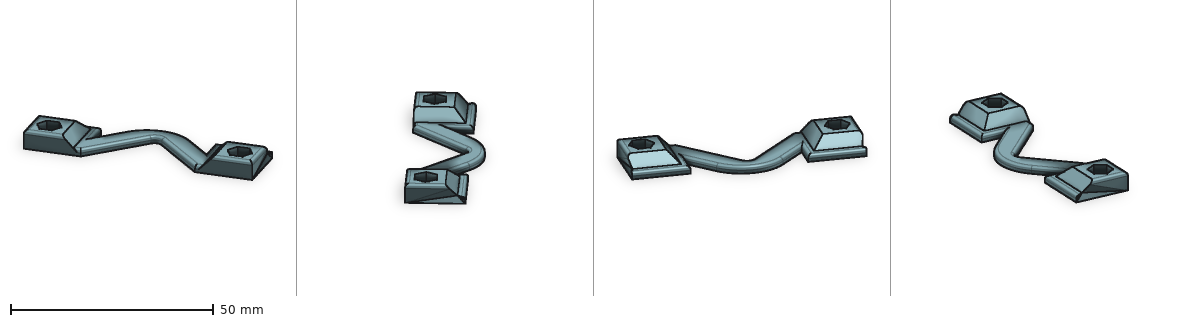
import cadquery as cq
import math

length = 60.0
pad_size = 15.0
plate_thickness = 2.0
block_height = 5.0
edge_radius = 0.99
pad_inner_x = length / 2 - pad_size

block_base = 13.0
block_top = block_base - (block_height - plate_thickness)

strap_width = 6.0
outer_bend_radius = 12.0
inner_bend_radius = 2.0

hole_diameter = 3.5
hole_inset = 5.0
nut_across_flats = 5.6
nut_floor = 2.5

end_face_recess = 0.6


def bend_points(apex_y, radius):
    """Left tangent point, crown and right tangent point of a rounded 90 degree bend."""
    center_y = apex_y - radius * math.sqrt(2)
    reach = radius / math.sqrt(2)
    return (-reach, center_y + reach), (0, center_y + radius), (reach, center_y + reach)


def make_plate():
    inner_apex = pad_inner_x
    outer_apex = inner_apex + strap_width * math.sqrt(2)
    notch_y = outer_apex - pad_inner_x
    inner_left, inner_crown, inner_right = bend_points(inner_apex, inner_bend_radius)
    outer_left, outer_crown, outer_right = bend_points(outer_apex, outer_bend_radius)
    plate = (
        cq.Workplane("XY")
        .moveTo(-length / 2, 0)
        .lineTo(-pad_inner_x, 0)
        .lineTo(*inner_left)
        .threePointArc(inner_crown, inner_right)
        .lineTo(pad_inner_x, 0)
        .lineTo(length / 2, 0)
        .lineTo(length / 2, pad_size)
        .lineTo(pad_inner_x, pad_size)
        .lineTo(pad_inner_x, notch_y)
        .lineTo(*outer_right)
        .threePointArc(outer_crown, outer_left)
        .lineTo(-pad_inner_x, notch_y)
        .lineTo(-pad_inner_x, pad_size)
        .lineTo(-length / 2, pad_size)
        .close()
        .extrude(plate_thickness)
    )
    box = cq.selectors.BoxSelector
    sharp = box((-length, -0.6, 0), (-length / 2 + 0.6, pad_size + 0.6, block_height))
    sharp += box((length / 2 - 0.6, -0.6, 0), (length, pad_size + 0.6, block_height))
    return plate.edges(cq.selectors.StringSyntaxSelector(">Z") - sharp).fillet(edge_radius)


def make_left_block():
    profile = [
        (0, 0),
        (block_base + edge_radius, 0),
        (block_base + edge_radius, plate_thickness - edge_radius),
        (block_top, block_height),
        (0, block_height),
    ]
    depth = block_base + edge_radius
    slope_side = cq.Workplane("XZ").polyline(profile).close().extrude(-depth)
    slope_rear = cq.Workplane("YZ").polyline(profile).close().extrude(depth)
    block = slope_side.intersect(slope_rear)
    top_edges = block.faces(">Z").edges("<X or <Y")
    block = block.newObject(top_edges.vals()).fillet(edge_radius)
    return block.translate((-length / 2, 0, 0))


def make_left_screw_cut():
    nut_across_corners = nut_across_flats * 2 / math.sqrt(3)
    center = (hole_inset - length / 2, hole_inset)
    hole = cq.Workplane("XY").center(*center).circle(hole_diameter / 2).extrude(block_height)
    nut = (
        cq.Workplane("XY", origin=(0, 0, nut_floor))
        .center(*center)
        .polygon(6, nut_across_corners)
        .extrude(block_height - nut_floor)
    )
    return hole.union(nut)


def make_left_end_recess():
    """Flat pyramid whose facets meet at the recessed foot of the rear slope."""
    side_height = block_height - edge_radius
    outline = [
        (0, 0),
        (block_top + edge_radius, side_height),
        (block_base, plate_thickness),
        (pad_size - edge_radius, plate_thickness),
        (pad_size, plate_thickness - edge_radius),
        (pad_size, 0),
    ]
    base = [cq.Vector(-length / 2, y, z) for y, z in outline]
    apex = cq.Vector(end_face_recess - length / 2, block_base, plate_thickness)
    faces = [cq.Face.makeFromWires(cq.Wire.makePolygon(base, close=True))]
    for start, end in zip(base, base[1:] + base[:1]):
        facet = cq.Wire.makePolygon([start, end, apex], close=True)
        faces.append(cq.Face.makeFromWires(facet))
    return cq.Workplane(cq.Solid.makeSolid(cq.Shell.makeShell(faces)))


left_block = make_left_block()
left_screw_cut = make_left_screw_cut()
left_recess = make_left_end_recess()
result = make_plate()
for block in (left_block, left_block.mirror("YZ")):
    result = result.union(block)
for cut in (left_screw_cut, left_recess):
    result = result.cut(cut).cut(cut.mirror("YZ"))